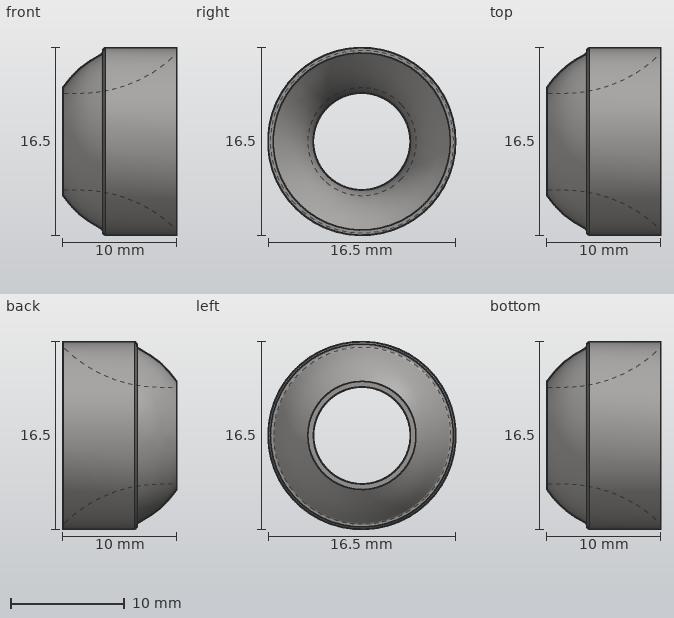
import cadquery as cq
import math

length = 10.0
body_radius = 8.25
body_start = 3.7
chamfer = 0.21

nose_radius = 8.5
nose_face_radius = 4.75
blend_radius = 0.25

bore_radius = 8.5 / 2
bore_straight = 1.5
flare_radius = 12.0

shoulder_x = body_start - chamfer
nose_centre_x = math.sqrt(nose_radius**2 - nose_face_radius**2)

blend_x = shoulder_x - blend_radius
blend_reach = nose_radius + blend_radius
blend_r = math.sqrt(blend_reach**2 - (blend_x - nose_centre_x) ** 2)
nose_end = (
    nose_centre_x + (blend_x - nose_centre_x) * nose_radius / blend_reach,
    blend_r * nose_radius / blend_reach,
)
blend_end = (shoulder_x, blend_r)

flare_length = length - bore_straight
rear_bore_radius = bore_radius + flare_radius - math.sqrt(flare_radius**2 - flare_length**2)


def arc_middle(centre, radius, start, end):
    """Midpoint of the shorter circular arc from start to end."""
    dx = (start[0] + end[0]) / 2 - centre[0]
    dy = (start[1] + end[1]) / 2 - centre[1]
    scale = radius / math.hypot(dx, dy)
    return (centre[0] + dx * scale, centre[1] + dy * scale)


nose_start = (0, nose_face_radius)
nose_middle = arc_middle((nose_centre_x, 0), nose_radius, nose_start, nose_end)
blend_middle = arc_middle((blend_x, blend_r), blend_radius, nose_end, blend_end)

flare_start = (bore_straight, bore_radius)
flare_end = (length, rear_bore_radius)
flare_centre = (bore_straight, bore_radius + flare_radius)
flare_middle = arc_middle(flare_centre, flare_radius, flare_end, flare_start)

half_section = (
    cq.Workplane("XY")
    .moveTo(0, bore_radius)
    .lineTo(*nose_start)
    .threePointArc(nose_middle, nose_end)
    .threePointArc(blend_middle, blend_end)
    .lineTo(shoulder_x, body_radius - chamfer)
    .lineTo(body_start, body_radius)
    .lineTo(length, body_radius)
    .lineTo(*flare_end)
    .threePointArc(flare_middle, flare_start)
    .close()
)

result = half_section.revolve(360, (0, 0, 0), (1, 0, 0))